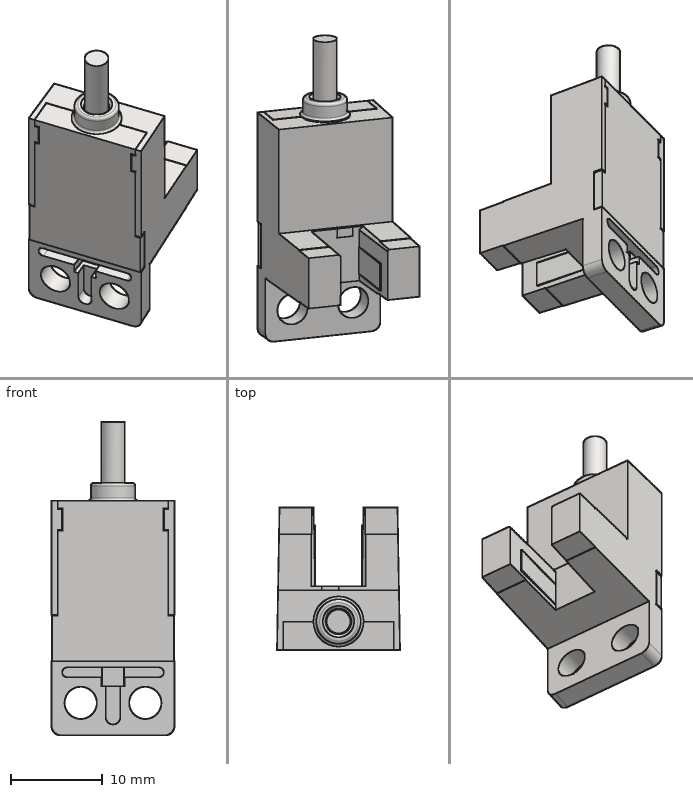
import cadquery as cq
import math


total_height = 34.1
total_depth = 15.5
housing_width = 13.4
housing_top = 25.55
block_depth = 6.5
plate_thickness = 2.45
plate_corner_radius = 1.02
draft_angle = 1.0
draft = math.tan(math.radians(draft_angle))
margin = 0.35

arm_bottom = 7.3
arm_top = 13.7
arm_step_depth = 12.58
arm_step = 0.07
slot_floor = 6.95
slot_half_width = 2.55
slot_chamfer = 0.4

window_half_gap = 2.52
window_end = 13.57
window_bottom = 8.2
window_top = 11.25

indicator_width = 1.8
indicator_height = 1.02

cover_width = 12.0
cover_depth = 3.1
cover_foot_width = 13.23
cover_foot_depth = 1.02
cover_foot_bottom = 8.08
cover_foot_top = 13.13
cover_gap = 0.1

notch_reach = 0.55
notch_bottom = 22.27
notch_top = 24.72
notch_depth = 1.02

mount_hole_radius = 1.75
mount_hole_offset = 3.5
mount_hole_height = 3.55
cross_groove_length = 11.05
cross_groove_bottom = 6.35
cross_groove_top = 7.4
cross_groove_depth = 1.1
socket_front_width = 2.6
socket_back_width = 2.35
socket_bottom = 5.35
socket_depth = 2.05
stem_groove_width = 1.57
stem_groove_bottom = 1.2
stem_groove_depth = 1.43

grommet_radius = 2.42
grommet_top = 27.5
grommet_fillet = 0.35
flare_radius = 0.3
grommet_seat = 25.37
funnel_radius = 1.7
funnel_depth = 0.38
bore_radius = 1.4
cable_radius = 1.3
cable_axis = cover_depth


def box(x_min, x_max, y_min, y_max, z_min, z_max):
    """Box given by its limits along each axis."""
    size = (x_max - x_min, y_max - y_min, z_max - z_min)
    return cq.Workplane("XY").box(*size, centered=False).translate((x_min, y_min, z_min))


def centred_box(width, y_min, y_max, z_min, z_max):
    """Box that is symmetric about X = 0."""
    return box(-width / 2, width / 2, y_min, y_max, z_min, z_max)


def tapered_plan(half_width_start, half_width_end, y_start, y_end):
    """Corners of a symmetric trapezoid in plan."""
    return [
        (-half_width_start, y_start),
        (half_width_start, y_start),
        (half_width_end, y_end),
        (-half_width_end, y_end),
    ]


def housing_blank():
    """Side profile of block, arms and plate, with all outer faces drafted."""
    side_profile = [
        (0, 0),
        (plate_thickness, draft * plate_thickness),
        (plate_thickness, arm_bottom + draft * plate_thickness),
        (arm_step_depth, arm_bottom + draft * arm_step_depth),
        (arm_step_depth, arm_bottom + draft * arm_step_depth + arm_step),
        (total_depth, arm_bottom + draft * total_depth + arm_step),
        (total_depth, arm_top - draft * total_depth - arm_step),
        (arm_step_depth, arm_top - draft * arm_step_depth - arm_step),
        (arm_step_depth, arm_top - draft * arm_step_depth),
        (block_depth, arm_top - draft * block_depth),
        (block_depth, housing_top - draft * block_depth),
        (0, housing_top),
    ]
    body = cq.Workplane("YZ").polyline(side_profile).close().extrude(housing_width / 2, both=True)
    half_width = housing_width / 2
    plan = tapered_plan(half_width, half_width - draft * total_depth, 0, total_depth)
    drafted_sides = cq.Workplane("XY").polyline(plan).close().extrude(total_height)
    body = body.intersect(drafted_sides)
    corner_box = cq.selectors.BoxSelector(
        (-housing_width, -margin, -margin), (housing_width, plate_thickness + margin, margin)
    )
    return body.edges(corner_box).edges("not #Y").edges("not |X").fillet(plate_corner_radius)


def arm_slot():
    """Slot between the arms, drafted in plan, with bevelled upper edges along the sloping arm tops."""
    slot_end = total_depth + margin
    end_half_width = slot_half_width + draft * (slot_end - slot_floor)
    plan = tapered_plan(slot_half_width, end_half_width, slot_floor, slot_end)
    slot = cq.Workplane("XY").polyline(plan).close().extrude(total_height)
    web_top = arm_top - draft * slot_floor
    bevel_top_half_width = slot_half_width + slot_chamfer + margin
    bevel_section = [
        (0, -slot_half_width - slot_chamfer),
        (bevel_top_half_width, margin),
        (-bevel_top_half_width, margin),
    ]
    bevels = (
        cq.Workplane("XZ")
        .polyline(bevel_section).close()
        .extrude(slot_floor - slot_end)
        .rotate((0, 0, 0), (1, 0, 0), -draft_angle)
        .translate((0, slot_floor, web_top))
        .intersect(centred_box(housing_width, slot_floor, slot_end, 0, total_height))
    )
    return slot.union(bevels)


def arm_window(side):
    """Raised flat window on the inner face of one arm."""
    x_limits = sorted((side * window_half_gap, side * (slot_half_width + margin)))
    return box(*x_limits, slot_floor, window_end, window_bottom, window_top)


def mounting_cuts():
    """Holes and grooves on the front of the mounting plate."""
    holes = (
        cq.Workplane("XZ")
        .pushPoints([(-mount_hole_offset, mount_hole_height), (mount_hole_offset, mount_hole_height)])
        .circle(mount_hole_radius)
        .extrude(-plate_thickness)
    )
    cross_groove = (
        cq.Workplane("XZ")
        .center(0, (cross_groove_bottom + cross_groove_top) / 2)
        .slot2D(cross_groove_length, cross_groove_top - cross_groove_bottom)
        .extrude(-cross_groove_depth)
    )
    socket_plan = tapered_plan(socket_front_width / 2, socket_back_width / 2, 0, socket_depth)
    socket = (
        cq.Workplane("XY", origin=(0, 0, socket_bottom))
        .polyline(socket_plan).close()
        .extrude(cross_groove_top - socket_bottom)
    )
    stem_length = cross_groove_top - stem_groove_bottom
    stem_groove = (
        cq.Workplane("XZ")
        .center(0, stem_groove_bottom + stem_length / 2)
        .slot2D(stem_length, stem_groove_width, 90)
        .extrude(-stem_groove_depth)
        .intersect(centred_box(stem_groove_width, 0, stem_groove_depth, 0, socket_bottom))
    )
    return holes.union(cross_groove).union(socket).union(stem_groove)


def latch_block(side, gap):
    """Latch volume on one side; the gap shrinks it on its free faces."""
    edge = cover_width / 2
    x_limits = sorted((side * (edge - notch_reach + gap), side * edge))
    return box(*x_limits, 0, notch_depth, notch_bottom + gap, notch_top - gap)


def cover_blank():
    """Cover outline without notches."""
    upper = centred_box(cover_width, 0, cover_depth, cover_foot_bottom, housing_top)
    foot_top = cover_foot_top - cover_gap
    foot = centred_box(cover_foot_width, 0, cover_foot_depth, cover_foot_bottom, foot_top)
    return upper.union(foot)


def cover_pocket():
    """Opening of the housing that takes the cover, open to both sides at the foot."""
    upper = centred_box(cover_width, 0, cover_depth, cover_foot_bottom, total_height)
    foot = centred_box(housing_width, 0, cover_foot_depth, cover_foot_bottom, cover_foot_top)
    return upper.union(foot)


def grommet_seat_cut():
    """Round seat shared by the housing and the cover, below the cable."""
    seat_radius = grommet_radius + flare_radius
    return (
        cq.Workplane("XY", origin=(0, cable_axis, grommet_seat))
        .circle(seat_radius)
        .extrude(housing_top - grommet_seat + margin)
    )


def make_indicator():
    """Indicator block, level with the top of the web at the slot floor."""
    top = arm_top - draft * slot_floor
    return box(-indicator_width, 0, block_depth, slot_floor, top - indicator_height, top)


def make_housing():
    """Housing with its arms, mounting plate and the recesses for the other bodies."""
    body = housing_blank().cut(arm_slot())
    for side in (-1, 1):
        body = body.union(arm_window(side))
    body = body.cut(mounting_cuts()).cut(cover_pocket())
    for side in (-1, 1):
        body = body.union(latch_block(side, cover_gap))
    return body.cut(grommet_seat_cut()).cut(make_indicator())


def make_cover():
    """Rear cover, notched on both sides for the latches."""
    body = cover_blank()
    for side in (-1, 1):
        body = body.cut(latch_block(side, 0))
    return body.cut(grommet_seat_cut())


def make_grommet():
    """Ring with a flared base, a rounded rim and a funnel mouth around the cable."""
    diagonal = math.sqrt(0.5)
    flare_outer = grommet_radius + flare_radius
    flare_top = housing_top + flare_radius
    rim_start = grommet_top - grommet_fillet
    rim_inner = grommet_radius - grommet_fillet
    flare_middle = (flare_outer - flare_radius * diagonal, flare_top - flare_radius * diagonal)
    rim_middle = (rim_inner + grommet_fillet * diagonal, rim_start + grommet_fillet * diagonal)
    return (
        cq.Workplane("XZ", origin=(0, cable_axis, 0))
        .moveTo(bore_radius, grommet_seat)
        .lineTo(flare_outer, grommet_seat)
        .lineTo(flare_outer, housing_top)
        .threePointArc(flare_middle, (grommet_radius, flare_top))
        .lineTo(grommet_radius, rim_start)
        .threePointArc(rim_middle, (rim_inner, grommet_top))
        .lineTo(funnel_radius, grommet_top)
        .lineTo(bore_radius, grommet_top - funnel_depth)
        .close()
        .revolve(360, (0, 0, 0), (0, 1, 0))
    )


def make_cable():
    """Round cable that ends on the grommet seat."""
    return (
        cq.Workplane("XY", origin=(0, cable_axis, grommet_seat))
        .circle(cable_radius)
        .extrude(total_height - grommet_seat)
    )


housing = make_housing()
cover = make_cover()
grommet = make_grommet()
cable = make_cable()
indicator = make_indicator()

result = cq.Compound.makeCompound(
    [body.solids().val() for body in (housing, cover, grommet, cable, indicator)]
)